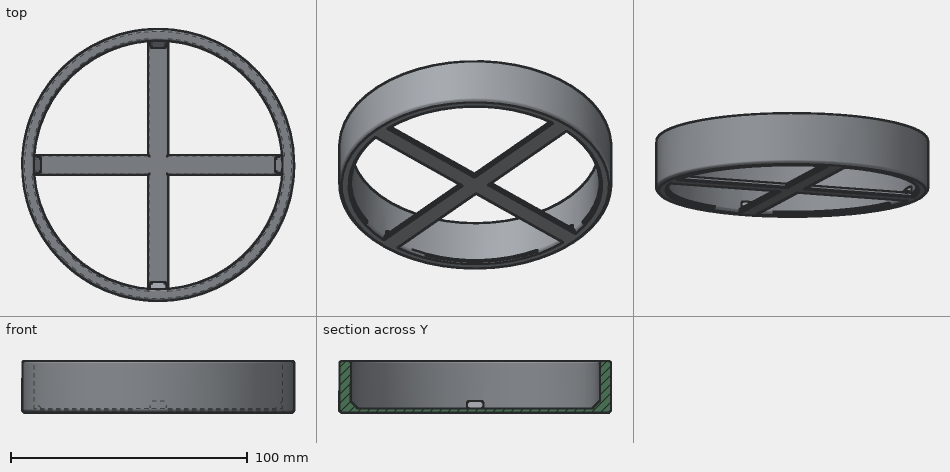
import cadquery as cq

outer_diameter = 115.0
inner_diameter = 105.0
ring_height = 22.0
edge_radius = 1.0
base_chamfer = 1.0
chamfer_blend_radius = 1.0

bar_width = 8.6
bar_thickness = 2.0
bar_edge_radius = 0.8
bar_base_chamfer = 0.5

gusset_width = bar_width - 2 * bar_edge_radius
gusset_reach = 3.1
gusset_height = 3.1
gusset_edge_radius = 0.9

inner_radius = inner_diameter / 2
anchor_radius = (outer_diameter + inner_diameter) / 4


def make_ring():
    """Tube with rounded top edges and softened chamfers along the bottom edges."""
    tube = cq.Workplane("XY").circle(outer_diameter / 2).circle(inner_radius).extrude(ring_height)
    ring = tube.faces(">Z").edges().fillet(edge_radius)
    ring = ring.faces("<Z").edges().chamfer(base_chamfer)
    chamfer_zone = cq.selectors.BoxSelector(
        (-outer_diameter, -outer_diameter, base_chamfer / 2),
        (outer_diameter, outer_diameter, 2 * base_chamfer),
        boundingbox=False,
    )
    return ring.edges("%CIRCLE").edges(chamfer_zone).fillet(chamfer_blend_radius)


def make_cross():
    """Two crossing bars on the base plane, rounded along the top and chamfered along the bottom."""
    size = (2 * anchor_radius, bar_width, bar_thickness)
    bar = cq.Workplane("XY").box(*size, centered=(True, True, False))
    cross = bar.union(bar.rotate((0, 0, 0), (0, 0, 1), 90))
    cross = cross.faces(">Z").edges().fillet(bar_edge_radius)
    return cross.faces("<Z").edges().chamfer(bar_base_chamfer)


def make_gusset():
    """Wedge rising from the bar on the +X side to the ring wall, with rounded sloping edges."""
    toe = inner_radius - gusset_reach
    top = bar_thickness + gusset_height
    slope = gusset_height / gusset_reach
    anchor_top = top + slope * (anchor_radius - inner_radius)
    wedge = (
        cq.Workplane("XZ")
        .polyline([(toe, bar_thickness), (anchor_radius, bar_thickness), (anchor_radius, anchor_top)])
        .close()
        .extrude(gusset_width / 2, both=True)
    )
    sloping_edges = wedge.faces("<X").edges("not |Y")
    return sloping_edges.fillet(gusset_edge_radius)


result = make_ring().union(make_cross())
gusset = make_gusset()
for angle in (0, 90, 180, 270):
    result = result.union(gusset.rotate((0, 0, 0), (0, 0, 1), angle))